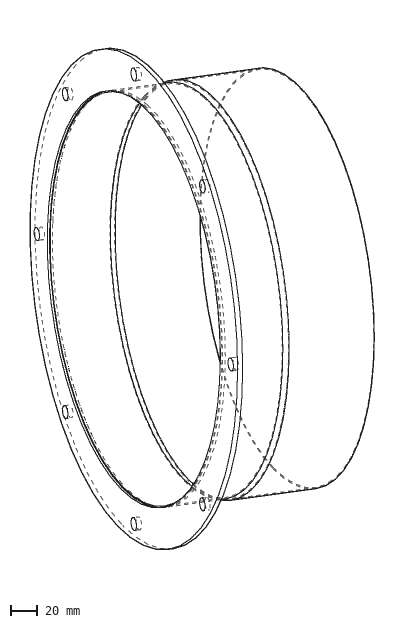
import cadquery as cq

flange_diameter = 381.0
flange_thickness = 4.2
bolt_circle_diameter = 356.0
bolt_hole_diameter = 10.0
bolt_count = 8

spigot_diameter = 317.5
sleeve_diameter = 320.5
wall = 1.0
overall_length = 127.0
spigot_recess = 2.0
taper_start = 52.0
taper_length = 4.5


def make_flange():
    """Flat ring with its front face on Y = 0, bored to take the spigot."""
    ring = (
        cq.Workplane("XZ")
        .circle(flange_diameter / 2)
        .circle(spigot_diameter / 2)
        .extrude(-flange_thickness)
    )
    bolt_holes = (
        cq.Workplane("XZ")
        .polarArray(bolt_circle_diameter / 2, 0, 360, bolt_count)
        .circle(bolt_hole_diameter / 2)
        .extrude(-flange_thickness)
    )
    return ring.cut(bolt_holes)


def make_collar():
    """Stepped tube along Y, its spigot end set back inside the flange bore."""
    spigot_radius = spigot_diameter / 2
    sleeve_radius = sleeve_diameter / 2
    taper_end = taper_start + taper_length
    wall_section = (
        cq.Workplane("XY")
        .moveTo(spigot_radius, spigot_recess)
        .lineTo(spigot_radius, taper_start)
        .lineTo(sleeve_radius, taper_end)
        .lineTo(sleeve_radius, overall_length)
        .lineTo(sleeve_radius - wall, overall_length)
        .lineTo(sleeve_radius - wall, taper_end)
        .lineTo(spigot_radius - wall, taper_start)
        .lineTo(spigot_radius - wall, spigot_recess)
        .close()
    )
    return wall_section.revolve(360, (0, 0, 0), (0, 1, 0))


flange = make_flange()
collar = make_collar()

result = cq.Compound.makeCompound([flange.val(), collar.val()])